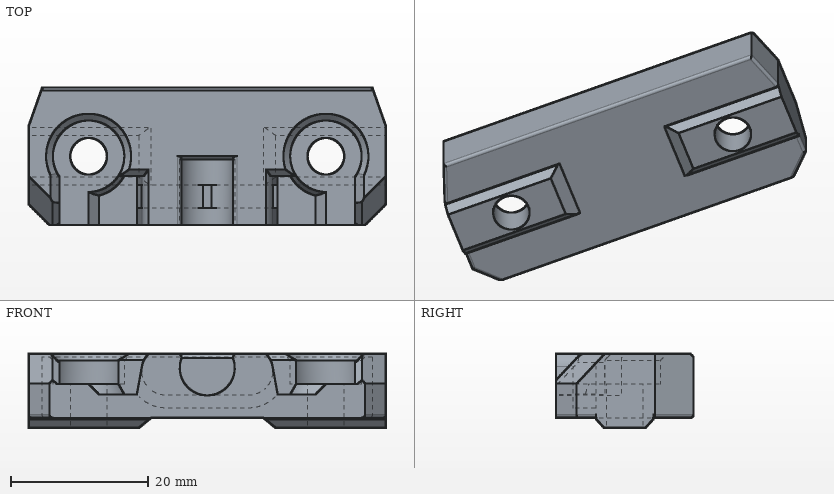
import cadquery as cq
import math


length = 52.0
width = 20.0
height = 10.8
rail_height = 1.45
body_height = height - rail_height
half_length = length / 2
front_corner = 3.0
back_corner_x = 2.0
back_corner_y = 5.6
back_top_chamfer = 0.45
bottom_rounding = 0.45

bevel_reach = 7.1
bevel_depth = 4.35

rail_width = 8.3
rail_slope_width = 1.15
rail_slope_height = 1.25
rail_gap_top = 16.35
rail_gap_bottom = 19.9

hole_x = 17.25
hole_y = width / 2
hole_radius = 2.65
seat_radius = 5.2
seat_depth = 4.4
seat_chamfer = 1.0
slot_wall_x = 21.55
slot_chamfer = 1.3
slot_edge_width = 1.0
slot_edge_drop = 0.85

groove_radius = 4.0
groove_depth = 6.1
groove_length = 9.5
groove_lip_radius = 0.55
groove_back_slope_depth = 0.7
groove_back_slope_width = 0.5

strap_inner_radius = 3.55
strap_thickness = 1.85
strap_centre_x = 6.05
strap_centre_depth = 2.5
strap_y = 2.5
strap_width = 3.35

pocket_depth = 5.95
pocket_length = 7.1
pocket_back_chamfer = 0.95
pocket_wall_tilt = 10.2
seat_skirt_spread = 0.75

pick_margin = 0.5


def extrude_along_y(outline, start, end):
    """Prism with an XZ outline, running from Y = start to Y = end."""
    return (
        cq.Workplane("XZ", origin=(0, start, 0))
        .polyline(outline)
        .close()
        .extrude(start - end)
    )


def both_sides(shape):
    return shape.union(shape.mirror("YZ"))


def make_body():
    outline = [
        (-half_length + front_corner, 0),
        (half_length - front_corner, 0),
        (half_length, front_corner),
        (half_length, width - back_corner_y),
        (half_length - back_corner_x, width),
        (-half_length + back_corner_x, width),
        (-half_length, width - back_corner_y),
        (-half_length, front_corner),
    ]
    body = cq.Workplane("XY").polyline(outline).close().extrude(-body_height)
    body = body.faces(">Y").edges(">Z").chamfer(back_top_chamfer)
    front_edge = cq.selectors.BoxSelector(
        (-half_length, -pick_margin, -height), (half_length, pick_margin, 0)
    )
    return body.faces("<Z").edges(-front_edge).fillet(bottom_rounding)


def make_rail():
    half_top = rail_width / 2
    half_bottom = half_top - rail_slope_width
    root = bottom_rounding - body_height
    section = [
        (hole_y - half_top, root),
        (hole_y - half_top, -height + rail_slope_height),
        (hole_y - half_bottom, -height),
        (hole_y + half_bottom, -height),
        (hole_y + half_top, -height + rail_slope_height),
        (hole_y + half_top, root),
    ]
    rail = cq.Workplane("YZ").polyline(section).close().extrude(half_length, both=True)
    gap = [
        (-rail_gap_top / 2, -body_height),
        (rail_gap_top / 2, -body_height),
        (rail_gap_bottom / 2, -height),
        (-rail_gap_bottom / 2, -height),
    ]
    return rail.cut(extrude_along_y(gap, 0, width))


def corner_bevel():
    """Wedge over the left front corner, with its edges parallel to the vertical corner face."""
    half_span = length / 4
    face_inset = front_corner / math.sqrt(2)
    top_inset = bevel_reach / math.sqrt(2)
    plane = cq.Plane(origin=(-half_length, 0, 0), xDir=(1, 1, 0), normal=(1, -1, 0))
    return (
        cq.Workplane(plane)
        .polyline([(face_inset, -bevel_depth), (top_inset, 0), (face_inset, 0)])
        .close()
        .extrude(half_span, both=True)
    )


def screw_seat():
    half_profile = [
        (0, 0),
        (seat_radius + seat_chamfer, 0),
        (seat_radius, -seat_chamfer),
        (seat_radius, -seat_depth),
        (hole_radius, -seat_depth),
        (hole_radius, -height),
        (0, -height),
    ]
    seat = cq.Workplane("XZ").polyline(half_profile).close().revolve(360, (0, 0), (0, 1))
    return seat.translate((-hole_x, hole_y, 0))


def seat_slot():
    section = [
        (-slot_wall_x - slot_chamfer, 0),
        (-slot_wall_x, -slot_chamfer),
        (-slot_wall_x, -seat_depth),
        (-hole_x, -seat_depth),
        (-hole_x, 0),
    ]
    slot = extrude_along_y(section, 0, hole_y)

    slope = bevel_depth / (bevel_reach - front_corner)
    foreshortening = math.cos(math.atan(slope))
    edge_x = -slot_wall_x - slot_edge_width
    edge_depth = (bevel_reach - half_length - edge_x) * slope
    plane = cq.Plane(origin=(0, 0, -edge_depth), xDir=(1, 0, 0), normal=(0, 1, slope))
    edge_rise = slot_edge_width * slope * foreshortening
    edge_cutter = (
        cq.Workplane(plane)
        .polyline([
            (edge_x, 0),
            (-slot_wall_x, slot_edge_drop * foreshortening),
            (-slot_wall_x, -edge_rise),
        ])
        .close()
        .extrude(width / 2, both=True)
    )
    above_floor = cq.Workplane("XY").box(
        length, hole_y, seat_depth, centered=(True, False, False)
    ).translate((0, 0, -seat_depth))
    return slot.union(edge_cutter.intersect(above_floor))


def pocket():
    tilt = math.radians(pocket_wall_tilt)
    tangent_x = -strap_centre_x - strap_inner_radius * math.cos(tilt)
    tangent_z = -strap_centre_depth + strap_inner_radius * math.sin(tilt)
    floor_x = tangent_x - (pocket_depth + tangent_z) * math.tan(tilt)
    rim_x = -strap_centre_x - math.sqrt(strap_inner_radius**2 - strap_centre_depth**2)
    floor_drop = pocket_depth - seat_depth
    across = (
        cq.Workplane("XZ")
        .moveTo(-hole_x, 0)
        .lineTo(-hole_x, -seat_depth)
        .lineTo(-hole_x + floor_drop, -pocket_depth)
        .lineTo(floor_x, -pocket_depth)
        .lineTo(tangent_x, tangent_z)
        .radiusArc((rim_x, 0), strap_inner_radius)
        .close()
        .extrude(-width)
    )
    along = (
        cq.Workplane("YZ")
        .polyline([
            (0, 0),
            (0, -pocket_depth),
            (pocket_length, -pocket_depth),
            (pocket_length, -pocket_back_chamfer),
            (pocket_length + pocket_back_chamfer, 0),
        ])
        .close()
        .extrude(-half_length)
    )
    seat_skirt = cq.Workplane("XY").add(
        cq.Solid.makeCone(
            seat_radius + seat_skirt_spread,
            seat_radius,
            floor_drop,
            pnt=cq.Vector(-hole_x, hole_y, -pocket_depth),
        )
    )
    return across.intersect(along).cut(seat_skirt)


def groove():
    centre_z = groove_radius - groove_depth
    bore = (
        cq.Workplane("XZ", origin=(0, 0, centre_z))
        .circle(groove_radius)
        .extrude(-groove_length)
    )
    reach = groove_radius + groove_lip_radius
    lip_rise = -groove_lip_radius - centre_z
    mouth_half = math.sqrt(reach**2 - lip_rise**2)
    throat_half = mouth_half * groove_radius / reach
    throat_z = centre_z + lip_rise * groove_radius / reach
    mouth = (
        cq.Workplane("XZ")
        .moveTo(-mouth_half, 0)
        .radiusArc((-throat_half, throat_z), groove_lip_radius)
        .lineTo(throat_half, throat_z)
        .radiusArc((mouth_half, 0), groove_lip_radius)
        .close()
        .extrude(-width)
    )
    back_slope = (
        cq.Workplane("YZ")
        .polyline([
            (0, 0),
            (0, throat_z),
            (groove_length, throat_z),
            (groove_length, -groove_back_slope_depth),
            (groove_length + groove_back_slope_width, 0),
        ])
        .close()
        .extrude(mouth_half, both=True)
    )
    return bore.union(mouth.intersect(back_slope))


def strap_channel():
    def rounded_bar(radius):
        return (
            cq.Workplane("XZ", origin=(0, strap_y, -strap_centre_depth))
            .slot2D(2 * (strap_centre_x + radius), 2 * radius)
            .extrude(-strap_width)
        )

    return rounded_bar(strap_inner_radius + strap_thickness).cut(rounded_bar(strap_inner_radius))


result = make_body().union(make_rail())
for cutter in (corner_bevel(), screw_seat(), seat_slot(), pocket()):
    result = result.cut(both_sides(cutter))
result = result.cut(groove()).cut(strap_channel())